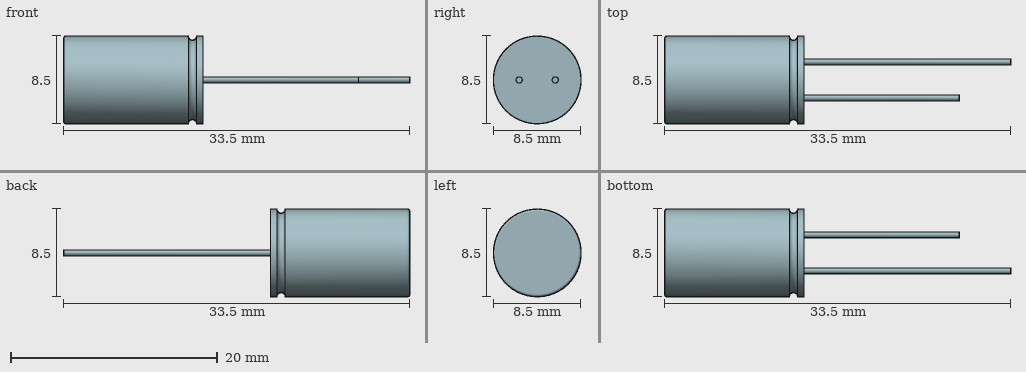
import cadquery as cq

overall_length = 33.5
can_diameter = 8.5
can_length = 13.5
end_fillet = 0.25

groove_radius = 0.4
groove_to_rim_face = 1.05

lead_diameter = 0.6
lead_spacing = 3.5
short_lead_length = 15.0

can_radius = can_diameter / 2
long_lead_length = overall_length - can_length
groove_center_x = can_length - groove_to_rim_face


def make_can():
    """Solid can, rounded at its closed end and crimped near its rim."""
    profile = (
        cq.Workplane("XY")
        .lineTo(0, can_radius - end_fillet)
        .radiusArc((end_fillet, can_radius), end_fillet)
        .lineTo(groove_center_x - groove_radius, can_radius)
        .threePointArc(
            (groove_center_x, can_radius - groove_radius),
            (groove_center_x + groove_radius, can_radius),
        )
        .lineTo(can_length, can_radius)
        .lineTo(can_length, 0)
        .close()
    )
    return profile.revolve(360, (0, 0, 0), (1, 0, 0))


def make_lead(y, length):
    """Round wire that starts on the rim face and runs along +X."""
    return (
        cq.Workplane("YZ", origin=(can_length, y, 0))
        .circle(lead_diameter / 2)
        .extrude(length)
    )


can = make_can()
leads = []
for y, length in (
    (lead_spacing / 2, long_lead_length),
    (-lead_spacing / 2, short_lead_length),
):
    leads.append(make_lead(y, length).val())

result = cq.Compound.makeCompound([can.val(), *leads])